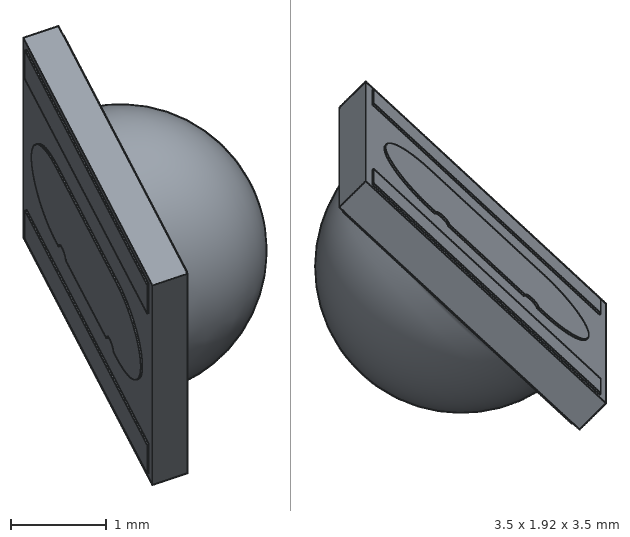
import cadquery as cq
import math

BOARD_SIDE = 3.5
BOARD_THICKNESS = 0.4
FILM_SIDE = 3.34
FILM_THICKNESS = 0.028

PAD_THICKNESS = 0.02
PAD_LENGTH = 3.31
PAD_WIDTH = 0.505
PAD_EDGE_MARGIN = 0.095
THERMAL_LENGTH = 2.96
THERMAL_WIDTH = 1.305
NOTCH_RADIUS = 0.095
NOTCH_SPACING = 1.295

TOTAL_DEPTH = 1.92
LENS_RADIUS = 1.533
FLARE_RADIUS = 0.09

board_back = PAD_THICKNESS
board_front = board_back + BOARD_THICKNESS
film_front = board_front + FILM_THICKNESS
pad_offset = BOARD_SIDE / 2 - PAD_EDGE_MARGIN - PAD_WIDTH / 2


def plane_at(y):
    """XZ workplane at depth y; extrusions run toward +Y, local y is -Z."""
    return cq.Workplane(cq.Plane(origin=(0, y, 0), xDir=(1, 0, 0), normal=(0, 1, 0)))


def make_substrate():
    board = plane_at(board_back).rect(BOARD_SIDE, BOARD_SIDE).extrude(BOARD_THICKNESS)
    film = plane_at(board_front).rect(FILM_SIDE, FILM_SIDE).extrude(FILM_THICKNESS)
    return board.union(film)


def make_electrical_pads():
    """Two rectangular pads along the upper and lower board edges."""
    return (
        plane_at(0)
        .pushPoints([(0, -pad_offset), (0, pad_offset)])
        .rect(PAD_LENGTH, PAD_WIDTH)
        .extrude(PAD_THICKNESS)
    )


def make_thermal_pad():
    """Rounded-end pad with two round notches in its lower edge."""
    lower_edge = THERMAL_WIDTH / 2
    notches = (
        plane_at(0)
        .pushPoints([(-NOTCH_SPACING / 2, lower_edge), (NOTCH_SPACING / 2, lower_edge)])
        .circle(NOTCH_RADIUS)
        .extrude(PAD_THICKNESS)
    )
    return plane_at(0).slot2D(THERMAL_LENGTH, THERMAL_WIDTH).extrude(PAD_THICKNESS).cut(notches)


def make_lens():
    """Spherical dome whose foot flares out tangentially onto the film."""
    center_y = TOTAL_DEPTH - LENS_RADIUS
    flare_y = film_front + FLARE_RADIUS
    center_distance = LENS_RADIUS + FLARE_RADIUS
    flare_angle = math.asin((flare_y - center_y) / center_distance)
    flare_x = center_distance * math.cos(flare_angle)

    def sphere_point(angle):
        return (LENS_RADIUS * math.cos(angle), center_y + LENS_RADIUS * math.sin(angle))

    flare_mid_angle = (math.pi + flare_angle + 3 * math.pi / 2) / 2
    flare_middle = (
        flare_x + FLARE_RADIUS * math.cos(flare_mid_angle),
        flare_y + FLARE_RADIUS * math.sin(flare_mid_angle),
    )
    return (
        cq.Workplane("XY")
        .moveTo(0, board_front)
        .lineTo(flare_x, board_front)
        .lineTo(flare_x, film_front)
        .threePointArc(flare_middle, sphere_point(flare_angle))
        .threePointArc(sphere_point((flare_angle + math.pi / 2) / 2), (0, TOTAL_DEPTH))
        .close()
        .revolve(360, (0, 0, 0), (0, 1, 0))
    )


result = (
    make_substrate()
    .union(make_electrical_pads())
    .union(make_thermal_pad())
    .union(make_lens())
)